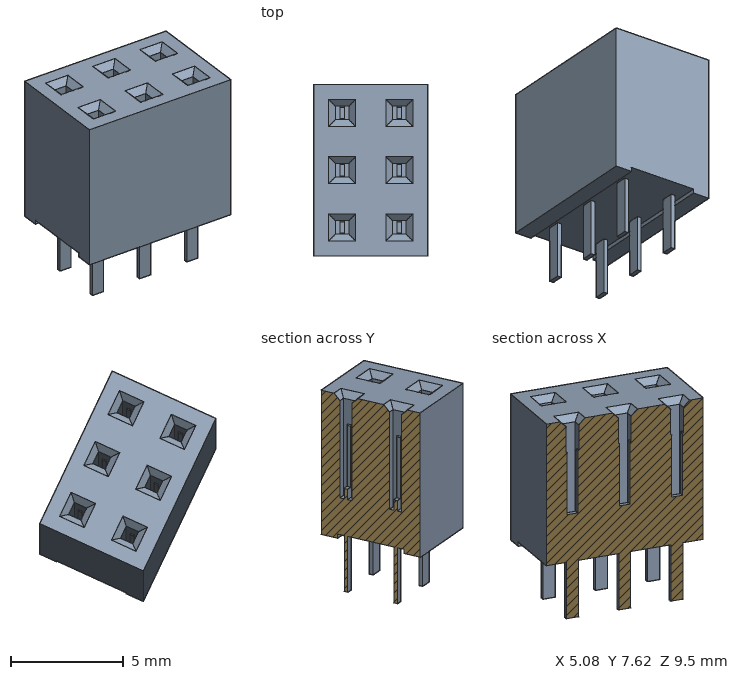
import cadquery as cq

pitch = 2.54
columns = 2
rows = 3
housing_height = 7.0
housing_x = columns * pitch
housing_y = rows * pitch

channel_width = 3.4
channel_height = 0.2

mouth_size = 1.2
shaft_size = 0.6
lead_in_depth = (mouth_size - shaft_size) / 2
socket_depth = 5.0
floor_z = housing_height - socket_depth

contact_thickness = 0.2
contact_width = shaft_size
tail_length = 2.5
fork_gap = 0.5
prong_width = (contact_width - fork_gap) / 2
tip_recess = 1.5
root_height = 0.5
fork_top_z = housing_height - tip_recess
fork_root_z = floor_z + root_height


def make_housing():
    """Plain block with the clearance channel cut through its underside."""
    block = cq.Workplane("XY").box(housing_x, housing_y, housing_height, centered=(True, True, False))
    channel = cq.Workplane("XY").box(channel_width, housing_y, channel_height, centered=(True, True, False))
    return block.cut(channel)


def make_socket():
    """Cavity of one socket, centred on the Z axis and open at the housing top."""
    lead_in = (
        cq.Workplane("XY", origin=(0, 0, housing_height))
        .rect(mouth_size, mouth_size)
        .workplane(offset=-lead_in_depth)
        .rect(shaft_size, shaft_size)
        .loft(ruled=True)
    )
    shaft = (
        cq.Workplane("XY", origin=(0, 0, floor_z))
        .rect(shaft_size, shaft_size)
        .extrude(socket_depth - lead_in_depth)
    )
    return shaft.union(lead_in)


def make_contact():
    """One contact centred on the Z axis; its prong tips slope inward at 45 degrees."""
    half_width = contact_width / 2
    half_gap = fork_gap / 2
    shoulder_z = fork_top_z - prong_width
    outline = [
        (-half_width, -tail_length),
        (half_width, -tail_length),
        (half_width, fork_top_z),
        (half_gap, shoulder_z),
        (half_gap, fork_root_z),
        (-half_gap, fork_root_z),
        (-half_gap, shoulder_z),
        (-half_width, fork_top_z),
    ]
    return cq.Workplane("YZ").polyline(outline).close().extrude(contact_thickness / 2, both=True)


def contact_positions():
    """XY centres of the contact grid, centred on the housing."""
    return [
        ((column - (columns - 1) / 2) * pitch, (row - (rows - 1) / 2) * pitch)
        for column in range(columns)
        for row in range(rows)
    ]


result = make_housing()
socket = make_socket()
contact = make_contact()
for x, y in contact_positions():
    result = result.cut(socket.translate((x, y, 0)))
    result = result.union(contact.translate((x, y, 0)))